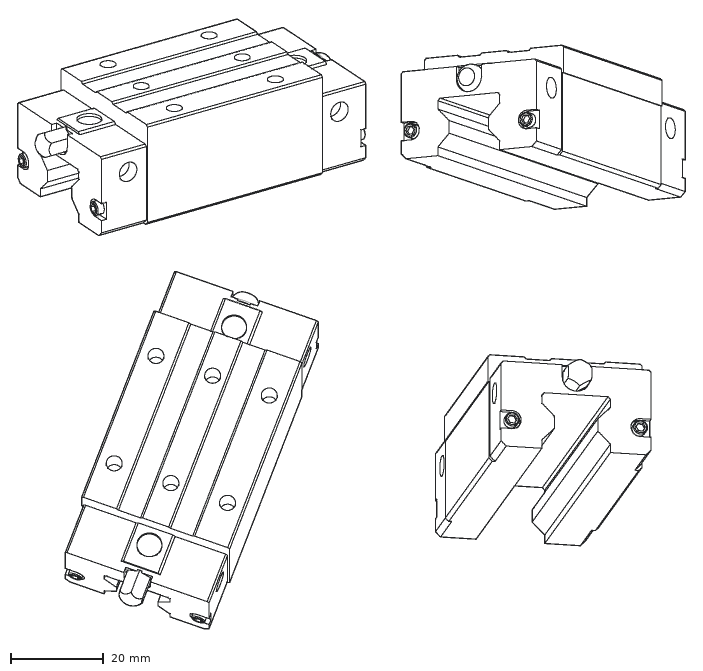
import cadquery as cq
import math


OVERALL_LENGTH = 74.75

BLOCK_LENGTH = 45.1
BLOCK_HALF_WIDTH = 34.0 / 2
BLOCK_HEIGHT = 24.0
BLOCK_TOP_CHAMFER = 0.45
BLOCK_BOTTOM_CHAMFER = 0.75
RELIEF_DEPTH = 0.2
RELIEF_TOP = 17.95

GROOVE_INNER = 3.0
GROOVE_OUTER = 9.0
GROOVE_DEPTH = 0.45

HOLE_PITCH = 26.0
HOLE_COLUMN_PITCH = 13.0
HOLE_DIAMETER = 3.45
HOLE_DEPTH = 6.0
DRILL_TIP_ANGLE = 118

CAP_HALF_WIDTH = 16.5
CAP_HEIGHT = 19.15
CAP_TOP_CHAMFER = 0.45
CAP_BOTTOM_CHAMFER = 1.1
CAP_LENGTH = 9.3
PLATE_THICKNESS = 2.25
CAP_END = BLOCK_LENGTH / 2 + CAP_LENGTH
PLATE_END = CAP_END + PLATE_THICKNESS

PAD_HALF_WIDTH = 3.95
PAD_HEIGHT = 0.5
PAD_RECESS_DIAMETER = 5.4
PAD_RECESS_DEPTH = 0.7
PAD_RECESS_Y = 26.4

SIDE_HOLE_DIAMETER = 4.5
SIDE_HOLE_DEPTH = 3.0
SIDE_HOLE_Y = 27.2
SIDE_HOLE_Z = 13.9

SLOT_HALF_WIDTH = 7.55
SLOT_WAIST_HALF_WIDTH = 4.8
SLOT_TOP = 12.55
SLOT_TOP_CHAMFER = 0.5
SLOT_WAIST_Z = 6.05
SLOT_WAIST_HEIGHT = 2.8
SLOT_FLARE = SLOT_HALF_WIDTH - SLOT_WAIST_HALF_WIDTH

NOTCH_DEPTH = 1.3
NOTCH_FLOOR = PLATE_END - NOTCH_DEPTH
FITTING_Z = 16.45
FITTING_RADIUS = 3.1

PLUG_TIP = 35.05
PLUG_TIP_RADIUS = 1.95
PLUG_BULGE = 0.34

NIPPLE_TIP = OVERALL_LENGTH - PLUG_TIP
NIPPLE_DOME_HEIGHT = 1.95
NIPPLE_RADIUS = 3.0

SCREW_X = 14.1
SCREW_Z = 6.05
SCREW_NOTCH_RADIUS = 2.0
SCREW_RADIUS = 3.1 / 2
SCREW_PROTRUSION = 0.5
SCREW_CHAMFER = 0.2
SOCKET_ACROSS_CORNERS = 2.0
SOCKET_DEPTH = 0.9

OVERLAP = 0.4


def prism_along_y(points, y_start, y_end):
    """Extrude a closed (x, z) outline from y_start to y_end."""
    profile = cq.Workplane("XZ", origin=(0, y_start, 0)).polyline(points).close()
    return profile.extrude(y_start - y_end)


def rod_along_y(x, z, radius, y_start, y_end):
    """Make a round rod parallel to Y."""
    return cq.Workplane("XZ", origin=(x, y_start, z)).circle(radius).extrude(y_start - y_end)


def mirrored(points):
    """Complete a right-hand half outline with its mirror image in X = 0."""
    return points + [(-x, z) for x, z in reversed(points)]


def make_block():
    half_length = BLOCK_LENGTH / 2
    half_outline = [
        (BLOCK_HALF_WIDTH - BLOCK_BOTTOM_CHAMFER, 0),
        (BLOCK_HALF_WIDTH, BLOCK_BOTTOM_CHAMFER),
        (BLOCK_HALF_WIDTH, BLOCK_HEIGHT - BLOCK_TOP_CHAMFER),
        (BLOCK_HALF_WIDTH - BLOCK_TOP_CHAMFER, BLOCK_HEIGHT),
        (GROOVE_OUTER, BLOCK_HEIGHT),
        (GROOVE_OUTER - GROOVE_DEPTH, BLOCK_HEIGHT - GROOVE_DEPTH),
        (GROOVE_INNER + GROOVE_DEPTH, BLOCK_HEIGHT - GROOVE_DEPTH),
        (GROOVE_INNER, BLOCK_HEIGHT),
    ]
    block = prism_along_y(mirrored(half_outline), -half_length, half_length)
    relief_x = RELIEF_DEPTH - BLOCK_HALF_WIDTH
    relief = [
        (-BLOCK_HALF_WIDTH, 0),
        (relief_x + BLOCK_BOTTOM_CHAMFER, 0),
        (relief_x, BLOCK_BOTTOM_CHAMFER),
        (relief_x, RELIEF_TOP),
        (-BLOCK_HALF_WIDTH, RELIEF_TOP),
    ]
    return block.cut(prism_along_y(relief, -half_length, half_length))


def make_tapped_holes():
    radius = HOLE_DIAMETER / 2
    tip_length = radius / math.tan(math.radians(DRILL_TIP_ANGLE / 2))
    bottom = BLOCK_HEIGHT - HOLE_DEPTH
    half_section = [
        (0, BLOCK_HEIGHT),
        (radius, BLOCK_HEIGHT),
        (radius, bottom),
        (0, bottom - tip_length),
    ]
    drill = cq.Workplane("XZ").polyline(half_section).close().revolve(360, (0, 0), (0, 1))
    holes = cq.Workplane("XY")
    for column in (-1, 0, 1):
        for row in (-0.5, 0.5):
            holes = holes.add(drill.translate((column * HOLE_COLUMN_PITCH, row * HOLE_PITCH, 0)))
    return holes.combine()


def make_caps():
    """End caps with their plates, as one bar running through the block."""
    half_outline = [
        (CAP_HALF_WIDTH - CAP_BOTTOM_CHAMFER, 0),
        (CAP_HALF_WIDTH, CAP_BOTTOM_CHAMFER),
        (CAP_HALF_WIDTH, CAP_HEIGHT - CAP_TOP_CHAMFER),
        (CAP_HALF_WIDTH - CAP_TOP_CHAMFER, CAP_HEIGHT),
    ]
    pad_half_outline = [
        (PAD_HALF_WIDTH + PAD_HEIGHT, CAP_HEIGHT),
        (PAD_HALF_WIDTH, CAP_HEIGHT + PAD_HEIGHT),
    ]
    bar = prism_along_y(mirrored(half_outline), -PLATE_END, PLATE_END)
    return bar.union(prism_along_y(mirrored(pad_half_outline), -CAP_END, CAP_END))


def make_lubrication_recesses(side):
    """Recesses of the cap at the given end: one in the pad, one in each flank."""
    pad_floor = CAP_HEIGHT + PAD_HEIGHT - PAD_RECESS_DEPTH
    recesses = (
        cq.Workplane("XY", origin=(0, side * PAD_RECESS_Y, pad_floor))
        .circle(PAD_RECESS_DIAMETER / 2)
        .extrude(PAD_RECESS_DEPTH)
    )
    for flank in (-1, 1):
        hole = (
            cq.Workplane("YZ", origin=(flank * CAP_HALF_WIDTH, side * SIDE_HOLE_Y, SIDE_HOLE_Z))
            .circle(SIDE_HOLE_DIAMETER / 2)
            .extrude(-flank * SIDE_HOLE_DEPTH)
        )
        recesses = recesses.union(hole)
    return recesses


def make_rail_slot():
    waist_low = SLOT_WAIST_Z - SLOT_WAIST_HEIGHT / 2
    waist_high = SLOT_WAIST_Z + SLOT_WAIST_HEIGHT / 2
    half_outline = [
        (SLOT_HALF_WIDTH, 0),
        (SLOT_HALF_WIDTH, waist_low - SLOT_FLARE),
        (SLOT_WAIST_HALF_WIDTH, waist_low),
        (SLOT_WAIST_HALF_WIDTH, waist_high),
        (SLOT_HALF_WIDTH, waist_high + SLOT_FLARE),
        (SLOT_HALF_WIDTH, SLOT_TOP - SLOT_TOP_CHAMFER),
        (SLOT_HALF_WIDTH - SLOT_TOP_CHAMFER, SLOT_TOP),
    ]
    return prism_along_y(mirrored(half_outline), -PLATE_END, PLATE_END)


def make_plate_notches(side):
    """U-shaped notches in one plate: open upward in the middle, outward at the screws."""
    start = side * NOTCH_FLOOR
    end = side * PLATE_END
    middle = [
        (FITTING_RADIUS, FITTING_Z),
        (FITTING_RADIUS, CAP_HEIGHT),
    ]
    notches = prism_along_y(mirrored(middle), start, end)
    notches = notches.union(rod_along_y(0, FITTING_Z, FITTING_RADIUS, start, end))
    for flank in (-1, 1):
        screw_x = flank * SCREW_X
        edge_x = flank * CAP_HALF_WIDTH
        opening = [
            (screw_x, SCREW_Z - SCREW_NOTCH_RADIUS),
            (edge_x, SCREW_Z - SCREW_NOTCH_RADIUS),
            (edge_x, SCREW_Z + SCREW_NOTCH_RADIUS),
            (screw_x, SCREW_Z + SCREW_NOTCH_RADIUS),
        ]
        notches = notches.union(prism_along_y(opening, start, end))
        notches = notches.union(rod_along_y(screw_x, SCREW_Z, SCREW_NOTCH_RADIUS, start, end))
    return notches


def make_screw(flank, side):
    head_end = PLATE_END + SCREW_PROTRUSION
    x = flank * SCREW_X
    head = rod_along_y(x, SCREW_Z, SCREW_RADIUS, side * (NOTCH_FLOOR - OVERLAP), side * head_end)
    outer_face = ">Y" if side > 0 else "<Y"
    head = head.faces(outer_face).edges().chamfer(SCREW_CHAMFER)
    socket = (
        cq.Workplane("XZ", origin=(x, side * head_end, SCREW_Z))
        .polygon(6, SOCKET_ACROSS_CORNERS)
        .extrude(side * SOCKET_DEPTH)
    )
    return head.cut(socket)


def make_nipple():
    """Hexagonal bar with a corner pointing up and a spherical dome at its end."""
    root = NOTCH_FLOOR - OVERLAP
    dome_start = NIPPLE_TIP - NIPPLE_DOME_HEIGHT
    dome_radius = (NIPPLE_RADIUS**2 + NIPPLE_DOME_HEIGHT**2) / (2 * NIPPLE_DOME_HEIGHT)
    dome_centre = NIPPLE_TIP - dome_radius
    mid_angle = math.asin(NIPPLE_RADIUS / dome_radius) / 2
    mid_point = (
        dome_radius * math.sin(mid_angle),
        -dome_centre - dome_radius * math.cos(mid_angle),
    )
    hexagon = (
        cq.Workplane("XZ", origin=(0, -root, FITTING_Z))
        .transformed(rotate=(0, 0, 90))
        .polygon(6, 2 * NIPPLE_RADIUS)
        .extrude(NIPPLE_TIP - root)
    )
    domed_rod = (
        cq.Workplane("XY", origin=(0, 0, FITTING_Z))
        .moveTo(0, -root)
        .lineTo(NIPPLE_RADIUS, -root)
        .lineTo(NIPPLE_RADIUS, -dome_start)
        .threePointArc(mid_point, (0, -NIPPLE_TIP))
        .close()
        .revolve(360, (0, 0), (0, 1))
    )
    return hexagon.intersect(domed_rod)


def make_plug():
    """Round button with a bulging flank and a flat tip."""
    root = NOTCH_FLOOR - OVERLAP
    flank_middle = (
        (FITTING_RADIUS + PLUG_TIP_RADIUS) / 2 + PLUG_BULGE,
        (NOTCH_FLOOR + PLUG_TIP) / 2 + PLUG_BULGE / 2,
    )
    return (
        cq.Workplane("XY", origin=(0, 0, FITTING_Z))
        .moveTo(0, root)
        .lineTo(FITTING_RADIUS, root)
        .lineTo(FITTING_RADIUS, NOTCH_FLOOR)
        .threePointArc(flank_middle, (PLUG_TIP_RADIUS, PLUG_TIP))
        .lineTo(0, PLUG_TIP)
        .close()
        .revolve(360, (0, 0), (0, 1))
    )


carriage = make_block().union(make_caps())
carriage = carriage.cut(make_rail_slot()).cut(make_tapped_holes())
for end_side in (-1, 1):
    carriage = carriage.cut(make_lubrication_recesses(end_side))
    carriage = carriage.cut(make_plate_notches(end_side))
    for screw_flank in (-1, 1):
        carriage = carriage.union(make_screw(screw_flank, end_side))
result = carriage.union(make_nipple()).union(make_plug())